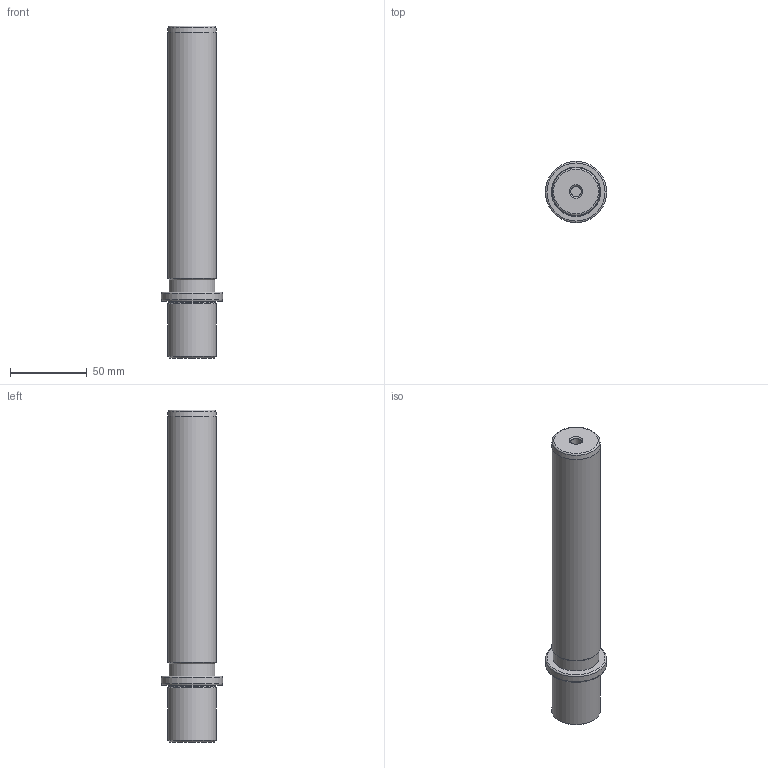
import cadquery as cq

total_length = 217.0
flange_bottom = 37.0
flange_thickness = 6.0
neck_length = 8.0

shaft_radius = 16.0
neck_radius = 15.0
flange_radius = 20.0

end_chamfer = 1.0
flange_fillet = 1.0
shaft_shoulder_chamfer = 1.0
tip_fillet = 1.0
tip_taper_length = 3.0
tip_taper_depth = 0.5

relief_width = 1.5
relief_depth = 0.5

hole_diameter = 6.8
hole_mouth_diameter = 8.8
hole_depth = 20.0

flange_top = flange_bottom + flange_thickness
shaft_bottom = flange_top + neck_length
tip_radius = shaft_radius - tip_taper_depth
taper_start = total_length - tip_fillet - tip_taper_length


def make_mounting_end():
    """Lower cylinder with a chamfered end and a relief groove under the flange."""
    groove_radius = shaft_radius - relief_depth
    groove_bottom = flange_bottom - relief_width
    return (
        cq.Workplane("XZ")
        .moveTo(0, 0)
        .lineTo(shaft_radius - end_chamfer, 0)
        .lineTo(shaft_radius, end_chamfer)
        .lineTo(shaft_radius, groove_bottom)
        .lineTo(groove_radius, groove_bottom + relief_depth)
        .lineTo(groove_radius, flange_bottom)
        .lineTo(0, flange_bottom)
        .close()
        .revolve(360, (0, 0), (0, 1))
    )


def make_flange():
    """Collar with both outer edges rounded."""
    return (
        cq.Workplane("XY", origin=(0, 0, flange_bottom))
        .circle(flange_radius)
        .extrude(flange_thickness)
        .edges()
        .fillet(flange_fillet)
    )


def make_neck():
    """Reduced section between the flange and the guide shaft."""
    return cq.Workplane("XY", origin=(0, 0, flange_top)).circle(neck_radius).extrude(neck_length)


def make_guide_shaft():
    """Long upper cylinder with a slightly tapered, rounded lead-in tip."""
    shaft = (
        cq.Workplane("XZ")
        .moveTo(0, shaft_bottom)
        .lineTo(shaft_radius - shaft_shoulder_chamfer, shaft_bottom)
        .lineTo(shaft_radius, shaft_bottom + shaft_shoulder_chamfer)
        .lineTo(shaft_radius, taper_start)
        .lineTo(tip_radius, total_length)
        .lineTo(0, total_length)
        .close()
        .revolve(360, (0, 0), (0, 1))
    )
    return shaft.faces(">Z").edges().fillet(tip_fillet)


def make_hole():
    """Blind flat-bottomed hole with a 45 degree countersunk mouth."""
    core_radius = hole_diameter / 2
    mouth_radius = hole_mouth_diameter / 2
    countersink_depth = mouth_radius - core_radius
    return (
        cq.Workplane("XZ")
        .moveTo(0, total_length)
        .lineTo(mouth_radius, total_length)
        .lineTo(core_radius, total_length - countersink_depth)
        .lineTo(core_radius, total_length - hole_depth)
        .lineTo(0, total_length - hole_depth)
        .close()
        .revolve(360, (0, 0), (0, 1))
    )


result = (
    make_mounting_end()
    .union(make_flange())
    .union(make_neck())
    .union(make_guide_shaft())
    .cut(make_hole())
)